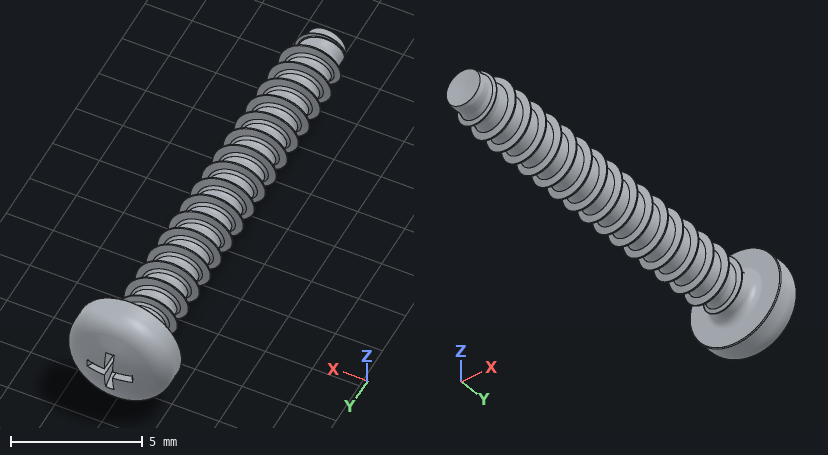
import cadquery as cq
import math


HEAD_RADIUS = 2.2
HEAD_HEIGHT = 1.92
RIM_HEIGHT = 0.69
SHOULDER_RADIUS = 1.70
SHOULDER_HEIGHT = 1.48
RIM_CHAMFER = 0.04

RECESS_WING_WIDTH = 0.35
RECESS_TOP_RADIUS = 1.05
RECESS_BOTTOM_RADIUS = 0.45
RECESS_DEPTH = 1.1

SHANK_LENGTH = 16.96
CORE_RADIUS = 0.87
NECK_RADIUS = 0.97
NECK_FILLET = 0.38
NECK_TAPER_END = 1.0
TIP_RADIUS = 0.82
TIP_TAPER_LENGTH = 0.2
TIP_DIMPLE_DEPTH = 0.06

THREAD_RADIUS = 1.25
PITCH = 0.95
TURNS = 17
THREAD_START = 0.575
CREST_HALF_WIDTH = 0.03
FLANK_RADIUS = 0.96
FLANK_HALF_WIDTH = 0.12
BURIED_RADIUS = 0.84
UPPER_ROOT = 0.29
LOWER_ROOT = 0.65
START_CREST_RADIUS = 1.06
END_CREST_RADIUS = 0.93
START_FADE_TURNS = 1
END_FADE_TURNS = 1.25
STEPS_PER_TURN = 24


def revolve_about_axis(profile):
    """Turn a closed (radius, Y) profile once around the Y axis."""
    return profile.close().revolve(360, (0, 0, 0), (0, 1, 0))


def make_head():
    """Rim cylinder, rounded shoulder and a shallow dome."""
    dome_sag = HEAD_HEIGHT - SHOULDER_HEIGHT
    dome_radius = (SHOULDER_RADIUS**2 + dome_sag**2) / (2 * dome_sag)
    dome_mid_x = SHOULDER_RADIUS / 2
    dome_mid_y = HEAD_HEIGHT - dome_radius + math.sqrt(dome_radius**2 - dome_mid_x**2)
    profile = (
        cq.Workplane("XY")
        .lineTo(HEAD_RADIUS - RIM_CHAMFER, 0)
        .lineTo(HEAD_RADIUS, RIM_CHAMFER)
        .lineTo(HEAD_RADIUS, RIM_HEIGHT)
        .tangentArcPoint((SHOULDER_RADIUS, SHOULDER_HEIGHT), relative=False)
        .threePointArc((dome_mid_x, dome_mid_y), (0, HEAD_HEIGHT))
    )
    return revolve_about_axis(profile)


def make_recess():
    """Two crossed wings whose ends taper inward toward the recess floor."""
    floor = HEAD_HEIGHT - RECESS_DEPTH
    span = 2 * RECESS_TOP_RADIUS
    middle = (0, floor + RECESS_DEPTH / 2, 0)
    wing_x = cq.Workplane("XY").box(span, RECESS_DEPTH, RECESS_WING_WIDTH).translate(middle)
    wing_z = cq.Workplane("XY").box(RECESS_WING_WIDTH, RECESS_DEPTH, span).translate(middle)
    taper = revolve_about_axis(
        cq.Workplane("XY")
        .moveTo(0, floor)
        .lineTo(RECESS_BOTTOM_RADIUS, floor)
        .lineTo(RECESS_TOP_RADIUS, HEAD_HEIGHT)
        .lineTo(0, HEAD_HEIGHT)
    )
    return wing_x.union(wing_z).intersect(taper)


def make_shank():
    """Filleted neck, short taper to the core, and a tapered tip with a shallow conical dimple."""
    arc_offset = NECK_FILLET * (1 - math.sqrt(0.5))
    profile = (
        cq.Workplane("XY")
        .lineTo(NECK_RADIUS + NECK_FILLET, 0)
        .threePointArc(
            (NECK_RADIUS + arc_offset, -arc_offset),
            (NECK_RADIUS, -NECK_FILLET),
        )
        .lineTo(CORE_RADIUS, -NECK_TAPER_END)
        .lineTo(CORE_RADIUS, TIP_TAPER_LENGTH - SHANK_LENGTH)
        .lineTo(TIP_RADIUS, -SHANK_LENGTH)
        .lineTo(0, TIP_DIMPLE_DEPTH - SHANK_LENGTH)
    )
    return revolve_about_axis(profile)


def thread_fade(turn):
    """Share of the full thread section reached after a number of turns from the head end."""
    start_factor = (START_CREST_RADIUS - CORE_RADIUS) / (THREAD_RADIUS - CORE_RADIUS)
    end_factor = (END_CREST_RADIUS - CORE_RADIUS) / (THREAD_RADIUS - CORE_RADIUS)
    rise = start_factor + (1 - start_factor) * turn / START_FADE_TURNS
    fall = end_factor + (1 - end_factor) * (TURNS - turn) / END_FADE_TURNS
    return min(rise, 1, fall)


def thread_point(radius, offset, turn):
    """Point of a section corner after some right-handed turns from -X, faded toward both ends."""
    angle = math.pi + 2 * math.pi * turn
    fade = thread_fade(turn)
    height = radius - CORE_RADIUS
    if height > 0:
        height *= fade
    reach = CORE_RADIUS + height
    y = offset * fade - THREAD_START - PITCH * turn
    return cq.Vector(reach * math.cos(angle), y, reach * math.sin(angle))


def thread_edge(corner, first_turn):
    """Helical edge traced by one section corner over one turn of the thread."""
    turns = [first_turn + i / STEPS_PER_TURN for i in range(STEPS_PER_TURN + 1)]
    return cq.Edge.makeSpline([thread_point(*corner, turn) for turn in turns])


def make_thread():
    """Helical ridge bounded by ruled faces between neighbouring helical edges."""
    section = [
        (BURIED_RADIUS, UPPER_ROOT),
        (FLANK_RADIUS, FLANK_HALF_WIDTH),
        (THREAD_RADIUS, CREST_HALF_WIDTH),
        (THREAD_RADIUS, -CREST_HALF_WIDTH),
        (FLANK_RADIUS, -FLANK_HALF_WIDTH),
        (BURIED_RADIUS, -LOWER_ROOT),
    ]
    faces = []
    for turn in range(TURNS):
        edges = [thread_edge(corner, turn) for corner in section]
        for i in range(len(edges)):
            faces.append(cq.Face.makeRuledSurface(edges[i - 1], edges[i]))
    for end_turn in (0, TURNS):
        corners = [thread_point(*corner, end_turn) for corner in section]
        faces.append(cq.Face.makeFromWires(cq.Wire.makePolygon(corners, close=True)))
    ridge = cq.Solid.makeSolid(cq.Shell.makeShell(faces))
    return cq.Workplane(obj=ridge.fix())


head = make_head().cut(make_recess())
result = head.union(make_shank()).union(make_thread())